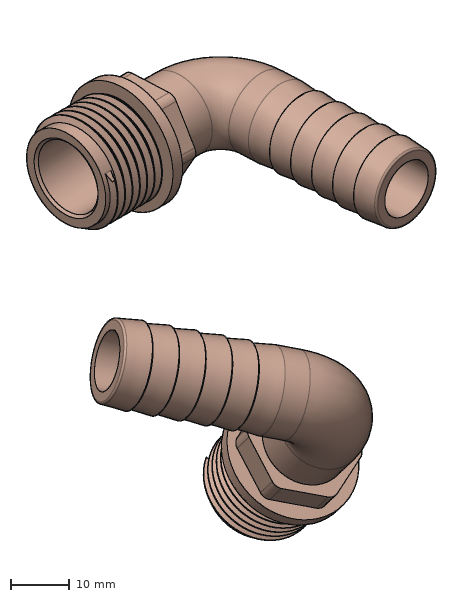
import cadquery as cq
import math

total_length = 57.0
flange_diameter = 24.8
total_depth = 46.0

core_radius = 9.4
flange_bottom = 13.6
flange_top = 16.0
hex_top = 21.05
hex_across_flats = 19.15
hex_corner_fillet = 2.0

thread_pitch = 1.835
thread_turns = 7
thread_crest_radius = 10.55
thread_root_overlap = 0.15
thread_base_width = 1.6
thread_crest_width = 0.2
thread_start_height = 1.65
thread_start_angle = -30.0
runout_direction = -45.0
runout_distance = 8.95

tube_radius = 8.0
bend_radius = 10.0
hose_axis_y = total_depth - tube_radius
bend_start_y = hose_axis_y - bend_radius
hose_end_x = total_length - flange_diameter / 2

barb_count = 6
barb_pitch = 4.99
barb_tip_radius = 7.5
barb_shoulder_length = 0.35
hose_end_fillet = 0.4
barbs_start_x = hose_end_x - barb_count * barb_pitch

bore_radius = 5.4
inlet_radius = 7.05
inlet_chamfer = 0.5


def cylinder_y(radius, bottom, top):
    """Cylinder around the Y axis between two heights."""
    base = cq.Workplane("XZ", origin=(0, bottom, 0))
    return base.circle(radius).extrude(bottom - top)


def elbow(radius):
    """Solid round rod along the centreline, up to the first barb."""
    path = (
        cq.Workplane("XY")
        .moveTo(0, flange_bottom)
        .lineTo(0, bend_start_y)
        .radiusArc((bend_radius, hose_axis_y), bend_radius)
        .lineTo(barbs_start_x, hose_axis_y)
    )
    return cq.Workplane("XZ", origin=(0, flange_bottom, 0)).circle(radius).sweep(path)


def hose_barbs():
    """Row of barbs, each narrowing towards the hose end."""
    profile = (
        cq.Workplane("XY", origin=(0, hose_axis_y, 0))
        .moveTo(barbs_start_x, 0)
        .lineTo(barbs_start_x, tube_radius)
    )
    for index in range(1, barb_count):
        barb_end = barbs_start_x + index * barb_pitch
        profile = profile.lineTo(barb_end - barb_shoulder_length, barb_tip_radius)
        profile = profile.lineTo(barb_end, tube_radius)
    profile = profile.lineTo(hose_end_x, barb_tip_radius).lineTo(hose_end_x, 0).close()
    barbs = profile.revolve(360, (0, 0, 0), (1, 0, 0))
    return barbs.faces(">X").edges().fillet(hose_end_fillet)


def hex_collar():
    """Hexagon with rounded corners, two of them pointing along X."""
    across_corners = hex_across_flats / math.cos(math.radians(30))
    collar = cq.Workplane("XZ", origin=(0, flange_top, 0)).polygon(6, across_corners)
    return collar.extrude(flange_top - hex_top).edges("|Y").fillet(hex_corner_fillet)


def thread():
    """Right-handed helical ridge, running from near the open end into the flange."""
    root_radius = core_radius - thread_root_overlap
    helix = cq.Wire.makeHelix(thread_pitch, thread_turns * thread_pitch, root_radius)
    ridge = (
        cq.Workplane("XZ")
        .moveTo(root_radius, -thread_base_width / 2)
        .lineTo(thread_crest_radius, -thread_crest_width / 2)
        .lineTo(thread_crest_radius, thread_crest_width / 2)
        .lineTo(root_radius, thread_base_width / 2)
        .close()
        .sweep(cq.Workplane(helix), isFrenet=True)
    )
    ridge = (
        ridge.rotate((0, 0, 0), (0, 0, 1), thread_start_angle)
        .rotate((0, 0, 0), (1, 0, 0), -90)
        .translate((0, thread_start_height, 0))
    )
    runout_top = thread_start_height + thread_pitch / 2
    runout = (
        cq.Workplane("XY")
        .box(core_radius, runout_top, core_radius, centered=(False, False, True))
        .translate((runout_distance, 0, 0))
        .rotate((0, 0, 0), (0, 1, 0), runout_direction)
    )
    return ridge.cut(runout)


def inlet():
    """Chamfered mouth and straight socket, then a cone narrowing to the bore."""
    return (
        cq.Workplane("XY")
        .lineTo(inlet_radius + inlet_chamfer, 0)
        .lineTo(inlet_radius, inlet_chamfer)
        .lineTo(inlet_radius, flange_top)
        .lineTo(bore_radius, hex_top)
        .lineTo(0, hex_top)
        .close()
        .revolve(360, (0, 0, 0), (0, 1, 0))
    )


def hose_bore():
    """Straight bore through the barbed leg."""
    start = cq.Workplane("YZ", origin=(barbs_start_x, hose_axis_y, 0))
    return start.circle(bore_radius).extrude(hose_end_x - barbs_start_x)


body = (
    cylinder_y(core_radius, 0, flange_top)
    .union(thread())
    .union(cylinder_y(flange_diameter / 2, flange_bottom, flange_top))
    .union(hex_collar())
    .union(elbow(tube_radius))
    .union(hose_barbs())
)
result = body.cut(inlet()).cut(elbow(bore_radius)).cut(hose_bore())